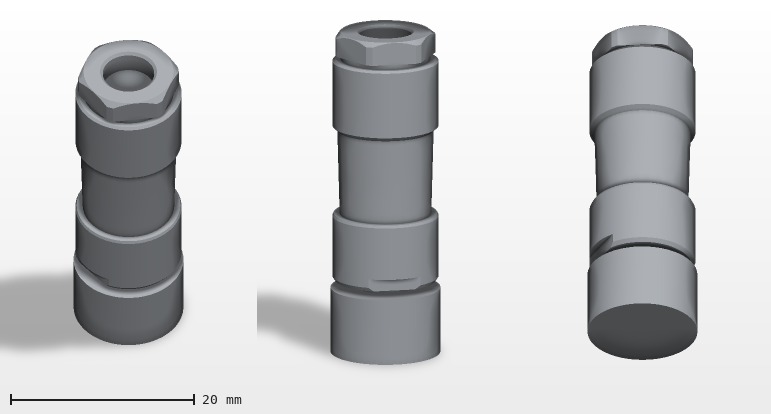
import cadquery as cq
import math

TOTAL_HEIGHT = 36
BASE_TOP = 7.25
STEM_TOP = 7.65
LOWER_COLLAR_BOTTOM = 8.1
LOWER_COLLAR_TOP = 15.6
UPPER_COLLAR_BOTTOM = 25.45
UPPER_COLLAR_TOP = 32.95
HEX_HEIGHT = 2.52
HEX_BOTTOM = TOTAL_HEIGHT - HEX_HEIGHT

BASE_DIAMETER = 12.0
STEM_DIAMETER = 6.0
SPIGOT_DIAMETER = 7.5
COLLAR_DIAMETER = 11.6
BARREL_BOTTOM_DIAMETER = 10.0
BARREL_TOP_DIAMETER = 10.5
NECK_DIAMETER = 9.85

LOWER_BEVEL_HEIGHT = 0.45
LOWER_BEVEL_WIDTH = 0.3
SHOULDER_BEVEL_HEIGHT = 0.3
SHOULDER_BEVEL_WIDTH = 0.15
UNDERCUT_BEVEL_HEIGHT = 0.45
TOP_BEVEL_HEIGHT = 0.2
TOP_BEVEL_WIDTH = 0.3

HEX_SIDES = 6
HEX_ACROSS_FLATS = 9.9
HEX_CORNER_DIAMETER = 11.0
HEX_TOP_DIAMETER = 9.8
HEX_BEVEL_HEIGHT = 0.45

BORE_DIAMETER = 5.6
BORE_MOUTH_DIAMETER = 6.2
BORE_DEPTH = HEX_HEIGHT
BORE_BEVEL = (BORE_MOUTH_DIAMETER - BORE_DIAMETER) / 2

FLATS_SPACING = 10.05
FLATS_TOP = 9.5


def revolve_profile(points):
    """Turn a closed (radius, height) outline around the Z axis."""
    return cq.Workplane("XZ").polyline(points).close().revolve(360, (0, 0), (0, 1))


def turned_body():
    """Base, stem, two collars, flared barrel and neck as one outline."""
    collar = COLLAR_DIAMETER / 2
    barrel_bottom = BARREL_BOTTOM_DIAMETER / 2
    barrel_top = BARREL_TOP_DIAMETER / 2
    points = [
        (0, 0),
        (BASE_DIAMETER / 2, 0),
        (BASE_DIAMETER / 2, BASE_TOP),
        (STEM_DIAMETER / 2, BASE_TOP),
        (STEM_DIAMETER / 2, STEM_TOP),
        (SPIGOT_DIAMETER / 2, STEM_TOP),
        (SPIGOT_DIAMETER / 2, LOWER_COLLAR_BOTTOM),
        (collar - LOWER_BEVEL_WIDTH, LOWER_COLLAR_BOTTOM),
        (collar, LOWER_COLLAR_BOTTOM + LOWER_BEVEL_HEIGHT),
        (collar, LOWER_COLLAR_TOP - SHOULDER_BEVEL_HEIGHT),
        (collar - SHOULDER_BEVEL_WIDTH, LOWER_COLLAR_TOP),
        (barrel_bottom, LOWER_COLLAR_TOP),
        (barrel_top, UPPER_COLLAR_BOTTOM - UNDERCUT_BEVEL_HEIGHT),
        (collar, UPPER_COLLAR_BOTTOM),
        (collar, UPPER_COLLAR_TOP - TOP_BEVEL_HEIGHT),
        (collar - TOP_BEVEL_WIDTH, UPPER_COLLAR_TOP),
        (NECK_DIAMETER / 2, UPPER_COLLAR_TOP),
        (NECK_DIAMETER / 2, HEX_BOTTOM),
        (0, HEX_BOTTOM),
    ]
    return revolve_profile(points)


def hex_head():
    """Hexagon with rounded corners and a conical bevel around its top."""
    corner_radius = HEX_ACROSS_FLATS / 2 / math.cos(math.pi / HEX_SIDES)
    corner_angles = [2 * math.pi * i / HEX_SIDES for i in range(HEX_SIDES)]
    corners = [(corner_radius * math.cos(a), corner_radius * math.sin(a)) for a in corner_angles]
    prism = (
        cq.Workplane("XY", origin=(0, 0, HEX_BOTTOM))
        .polyline(corners)
        .close()
        .extrude(HEX_HEIGHT)
    )
    envelope = revolve_profile([
        (0, HEX_BOTTOM),
        (HEX_CORNER_DIAMETER / 2, HEX_BOTTOM),
        (HEX_CORNER_DIAMETER / 2, TOTAL_HEIGHT - HEX_BEVEL_HEIGHT),
        (HEX_TOP_DIAMETER / 2, TOTAL_HEIGHT),
        (0, TOTAL_HEIGHT),
    ])
    return prism.intersect(envelope)


def bore():
    """Flat-bottomed bore with a bevelled mouth."""
    floor = TOTAL_HEIGHT - BORE_DEPTH
    return revolve_profile([
        (0, floor),
        (BORE_DIAMETER / 2, floor),
        (BORE_DIAMETER / 2, TOTAL_HEIGHT - BORE_BEVEL),
        (BORE_MOUTH_DIAMETER / 2, TOTAL_HEIGHT),
        (0, TOTAL_HEIGHT),
    ])


def flat_cutter(side):
    """Block that removes one spanner flat; side is +1 or -1 along Y."""
    height = FLATS_TOP - LOWER_COLLAR_BOTTOM
    thickness = COLLAR_DIAMETER - FLATS_SPACING
    y_center = side * (FLATS_SPACING + thickness) / 2
    return (
        cq.Workplane("XY", origin=(0, y_center, LOWER_COLLAR_BOTTOM))
        .rect(COLLAR_DIAMETER, thickness)
        .extrude(height)
    )


result = turned_body().union(hex_head()).cut(bore())
for side in (-1, 1):
    result = result.cut(flat_cutter(side))